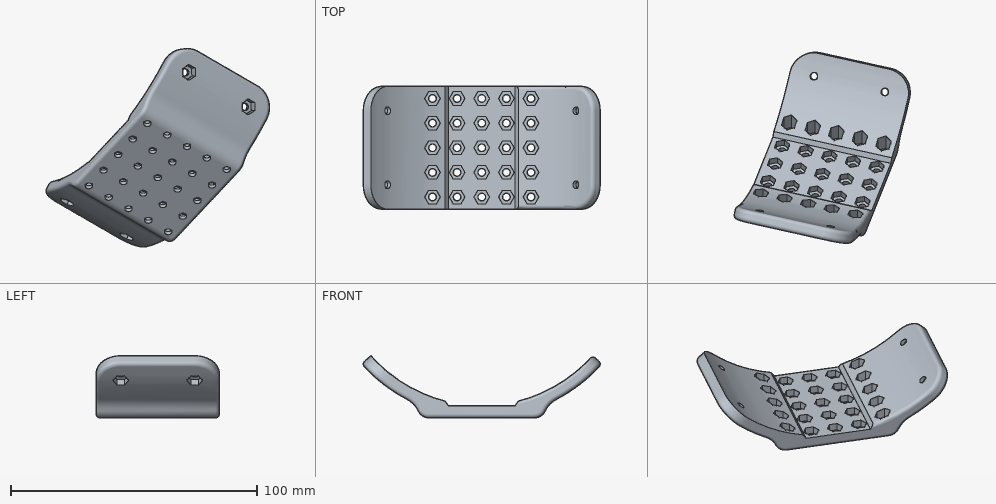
import cadquery as cq
import math

WIDTH = 50.0
WALL = 5.0
INNER_RADIUS = 60.0
OUTER_RADIUS = INNER_RADIUS + WALL
AXIS_Z = OUTER_RADIUS
TIP_HALF_SPAN = 45.0
TIP_ANGLE = math.asin(TIP_HALF_SPAN / INNER_RADIUS)

FOOT_HALF_LENGTH = 21.3
FOOT_RADIUS = 5.0
NECK_RADIUS = 10.0

FLOOR_HALF_WIDTH = 13.5
CHANNEL_TOP_HALF_WIDTH = 14.9

CORNER_RADIUS = 10.0
EDGE_RADIUS = 1.5

HOLE_DIAMETER = 3.0
NUT_SIDES = 6
NUT_ACROSS_FLATS = 5.5
NUT_ACROSS_CORNERS = NUT_ACROSS_FLATS / math.cos(math.pi / NUT_SIDES)
GRID_PITCH = 10.0
GRID_COUNT = 5
NUT_SEAT_Z = 2.0
WING_HOLE_TILT = math.radians(45)
WING_HOLE_OFFSET = 5.7
WING_HOLE_Y = 15.0
WING_NUT_SEAT = 61.3

SMALL = 0.01
CLEARANCE = 10.0


def on_arc(radius, angle):
    """Point on a circle about the cradle axis, angle measured from straight down."""
    return (radius * math.sin(angle), AXIS_Z - radius * math.cos(angle))


def mirrored(point):
    return (-point[0], point[1])


def neck_center():
    """Center of the neck blend, tangent to both the outer arc and the foot blend."""
    to_axis = OUTER_RADIUS + NECK_RADIUS
    to_foot = FOOT_RADIUS + NECK_RADIUS
    dx = -FOOT_HALF_LENGTH
    dz = AXIS_Z - FOOT_RADIUS
    span = math.hypot(dx, dz)
    along = (to_foot**2 - to_axis**2 + span**2) / (2 * span)
    across = math.sqrt(to_foot**2 - along**2)
    x = FOOT_HALF_LENGTH + (along * dx + across * dz) / span
    z = FOOT_RADIUS + (along * dz - across * dx) / span
    return x, z


def cradle_blank():
    """Solid with the side outline, without the central channel."""
    neck_x, neck_z = neck_center()
    neck_angle = math.atan2(neck_x, AXIS_Z - neck_z)
    foot_angle = math.atan2(neck_x - FOOT_HALF_LENGTH, FOOT_RADIUS - neck_z)
    neck_mid_angle = (neck_angle + foot_angle) / 2

    def on_foot(angle):
        x = FOOT_HALF_LENGTH + FOOT_RADIUS * math.sin(angle)
        return (x, FOOT_RADIUS - FOOT_RADIUS * math.cos(angle))

    foot_start = (FOOT_HALF_LENGTH, 0)
    foot_mid = on_foot(foot_angle / 2)
    foot_end = on_foot(foot_angle)
    neck_mid = (
        neck_x - NECK_RADIUS * math.sin(neck_mid_angle),
        neck_z + NECK_RADIUS * math.cos(neck_mid_angle),
    )
    neck_end = on_arc(OUTER_RADIUS, neck_angle)
    wing_mid = on_arc(OUTER_RADIUS, (neck_angle + TIP_ANGLE) / 2)
    outer_tip = on_arc(OUTER_RADIUS, TIP_ANGLE)
    inner_tip = on_arc(INNER_RADIUS, TIP_ANGLE)

    outline = (
        cq.Workplane("XZ", origin=(0, WIDTH / 2, 0))
        .moveTo(*mirrored(foot_start))
        .lineTo(*foot_start)
        .threePointArc(foot_mid, foot_end)
        .threePointArc(neck_mid, neck_end)
        .threePointArc(wing_mid, outer_tip)
        .lineTo(*inner_tip)
        .threePointArc(on_arc(INNER_RADIUS, 0), mirrored(inner_tip))
        .lineTo(*mirrored(outer_tip))
        .threePointArc(mirrored(wing_mid), mirrored(neck_end))
        .threePointArc(mirrored(neck_mid), mirrored(foot_end))
        .threePointArc(mirrored(foot_mid), mirrored(foot_start))
        .close()
    )
    return outline.extrude(WIDTH)


def round_wing_corners(body):
    tip_edges = []
    for edge in body.edges("%LINE").vals():
        is_radial = abs(edge.Length() - WALL) < SMALL
        if is_radial:
            tip_edges.append(edge)
    return body.newObject(tip_edges).fillet(CORNER_RADIUS)


def channel_cutter():
    """Flat-floored channel with sloping sides, running along Y."""
    rim_z = AXIS_Z - math.sqrt(INNER_RADIUS**2 - CHANNEL_TOP_HALF_WIDTH**2)
    slope = (CHANNEL_TOP_HALF_WIDTH - FLOOR_HALF_WIDTH) / (rim_z - WALL)
    top_z = rim_z + CLEARANCE
    top_half_width = CHANNEL_TOP_HALF_WIDTH + slope * CLEARANCE
    points = [
        (-FLOOR_HALF_WIDTH, WALL),
        (FLOOR_HALF_WIDTH, WALL),
        (top_half_width, top_z),
        (-top_half_width, top_z),
    ]
    return cq.Workplane("XZ", origin=(0, WIDTH / 2, 0)).polyline(points).close().extrude(WIDTH)


def round_lower_rim(body):
    """Round the tangent chain of edges all around the underside."""
    lower = body.faces("<Z").edges("|X").vals()
    return body.newObject(lower).fillet(EDGE_RADIUS)


def round_upper_rim(body):
    """Round the upper rim of the +X wing only; the rest of the part keeps a sharp upper rim."""
    upper_tip = on_arc(INNER_RADIUS, TIP_ANGLE)
    wing_zone = cq.Workplane("XY").box(OUTER_RADIUS, WIDTH, AXIS_Z, centered=(False, True, False))
    wing_zone = wing_zone.translate((FLOOR_HALF_WIDTH, 0, 0))
    tip_edge = body.edges(cq.selectors.NearestToPointSelector((upper_tip[0], 0, upper_tip[1])))
    rounded_wing = tip_edge.fillet(EDGE_RADIUS).intersect(wing_zone)
    return body.cut(wing_zone).union(rounded_wing)


def cut_base_holes(body):
    """Square grid of vertical screw holes with nut pockets open at the top."""

    def grid(height):
        plane = cq.Workplane("XY", origin=(0, 0, height))
        return plane.rarray(GRID_PITCH, GRID_PITCH, GRID_COUNT, GRID_COUNT)

    holes = grid(-CLEARANCE).circle(HOLE_DIAMETER / 2).extrude(AXIS_Z)
    pockets = grid(NUT_SEAT_Z).polygon(NUT_SIDES, NUT_ACROSS_CORNERS).extrude(AXIS_Z)
    return body.cut(holes).cut(pockets)


def wing_screw_plane(side, y, distance):
    """Plane across a wing screw axis, facing outward; side is -1 or 1 for the -X or +X wing."""
    x, z = on_arc(distance, WING_HOLE_TILT)
    x -= WING_HOLE_OFFSET * math.cos(WING_HOLE_TILT)
    z -= WING_HOLE_OFFSET * math.sin(WING_HOLE_TILT)
    outward = (side * math.sin(WING_HOLE_TILT), 0, -math.cos(WING_HOLE_TILT))
    return cq.Workplane(cq.Plane((side * x, y, z), (0, 1, 0), outward))


def cut_wing_holes(body):
    """Tilted screw holes near the wing tips, nut pockets open on the outside."""
    for side in (-1, 1):
        for y in (-WING_HOLE_Y, WING_HOLE_Y):
            hole_start = wing_screw_plane(side, y, INNER_RADIUS - CLEARANCE)
            hole = hole_start.circle(HOLE_DIAMETER / 2).extrude(WALL + 2 * CLEARANCE)
            nut_seat = wing_screw_plane(side, y, WING_NUT_SEAT)
            pocket = nut_seat.polygon(NUT_SIDES, NUT_ACROSS_CORNERS).extrude(CLEARANCE)
            body = body.cut(hole).cut(pocket)
    return body


body = round_wing_corners(cradle_blank())
body = round_lower_rim(body)
body = round_upper_rim(body)
body = body.cut(channel_cutter())
body = cut_base_holes(body)
result = cut_wing_holes(body)